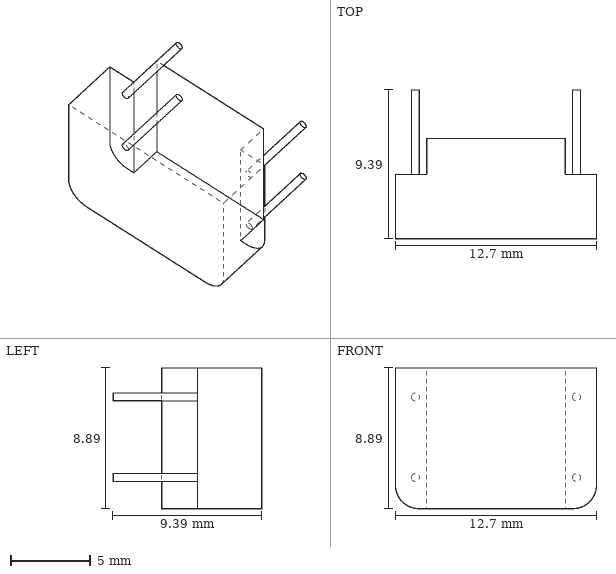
import cadquery as cq

body_width = 12.7
body_height = 8.89
body_depth = 4.064
bottom_corner_radius = 1.5

block_width = 8.76
depth_without_pins = 6.33
block_depth = depth_without_pins - body_depth

pin_diameter = 0.51
pin_spacing_x = 10.16
pin_spacing_z = 5.08
pin_row_offset_z = 0.07
overall_depth = 9.39
pin_length = overall_depth - body_depth


def make_body():
    """Housing with its two lower corners rounded."""
    body = cq.Workplane("XY").box(body_width, body_depth, body_height, centered=(True, False, True))
    return body.edges("|Y and <Z").fillet(bottom_corner_radius)


def make_block():
    """Square-cornered block against the back of the housing."""
    block = cq.Workplane("XY").box(block_width, block_depth, body_height, centered=(True, False, True))
    return block.translate((0, body_depth, 0))


def make_pins():
    """Two-by-two pattern of pins pointing along +Y."""
    back_face = cq.Workplane("XZ", origin=(0, body_depth, pin_row_offset_z))
    pin_centres = back_face.rarray(pin_spacing_x, pin_spacing_z, 2, 2)
    return pin_centres.circle(pin_diameter / 2).extrude(-pin_length)


result = make_body().union(make_block()).union(make_pins())